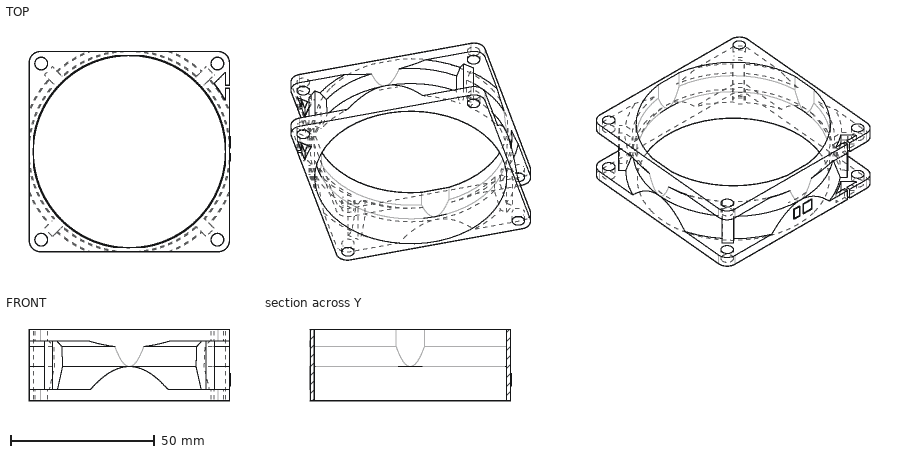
import cadquery as cq
import math


overall_width = 70.3
mark_height = 0.3
side = overall_width - mark_height
height = 25.0
flange_thickness = 4.0
corner_radius = 4.0
half_side = side / 2
flange_gap = height - 2 * flange_thickness
top_flange_z = height - flange_thickness

hole_spacing = 61.5
hole_diameter = 4.35

wall = 1.5
waist_z = 12.0
shoulder_z = 19.0
waist_radius = half_side
shoulder_radius = 35.35
lower_flare_radius = 37.55
upper_flare_radius = 37.9

bore_waist_radius = waist_radius - wall
bore_shoulder_radius = shoulder_radius - wall
wall_inner_face = half_side - wall

rib_width = 4.0
rib_end_radius = 39.9
rib_start_radius = waist_radius - wall / 2

passage_rib_clearance = 2.1
passage_arc_radius = 38.0
slit_width = 1.0
slit_y = 22.65

mark_root = wall / 2
mark_bottom_z = 5.3
mark_top_z = 9.6
mark_spans = [(1.2, 5.2), (-3.2, -0.6)]


def square_prism(width, bottom, depth):
    return cq.Workplane("XY").workplane(offset=bottom).rect(width, width).extrude(depth)


def revolved(profile):
    """Turn a closed (radius, z) profile around the Z axis."""
    return cq.Workplane("XZ").polyline(profile).close().revolve(360, (0, 0), (0, 1))


def make_flange(bottom):
    return square_prism(side, bottom, flange_thickness).edges("|Z").fillet(corner_radius)


def make_tube():
    """Solid waisted body between the flanges, cut flat by the four sides of the frame."""
    body = revolved([
        (0, flange_thickness),
        (lower_flare_radius, flange_thickness),
        (waist_radius, waist_z),
        (shoulder_radius, shoulder_z),
        (upper_flare_radius, top_flange_z),
        (0, top_flange_z),
    ])
    return body.intersect(square_prism(side, flange_thickness, flange_gap))


def make_rib(angle):
    """Rib spanning the flanges, from inside the tube wall out along the given angle."""
    length = rib_end_radius - rib_start_radius
    return (
        cq.Workplane("XY")
        .workplane(offset=flange_thickness)
        .center((rib_start_radius + rib_end_radius) / 2, 0)
        .rect(length, rib_width)
        .extrude(flange_gap)
        .rotate((0, 0, 0), (0, 0, 1), angle)
    )


def make_bore():
    """Bore cutter, flattened on four sides so that the side walls keep their thickness."""
    cutter = revolved([
        (0, 0),
        (bore_waist_radius, 0),
        (bore_waist_radius, waist_z),
        (bore_shoulder_radius, shoulder_z),
        (bore_shoulder_radius, height),
        (0, height),
    ])
    return cutter.intersect(square_prism(2 * wall_inner_face, 0, height))


def make_cable_passage():
    """Corner cutter bounded by the side wall, a line parallel to the rib and an arc around the tube."""
    rib_offset = rib_width / 2 + passage_rib_clearance
    tip_angle = math.pi / 4 - math.asin(rib_offset / passage_arc_radius)
    low_angle = math.acos(wall_inner_face / passage_arc_radius)
    mid_angle = (tip_angle + low_angle) / 2

    def on_arc(angle):
        return (passage_arc_radius * math.cos(angle), passage_arc_radius * math.sin(angle))

    passage = (
        cq.Workplane("XY")
        .moveTo(wall_inner_face, wall_inner_face - rib_offset * math.sqrt(2))
        .lineTo(*on_arc(tip_angle))
        .threePointArc(on_arc(mid_angle), on_arc(low_angle))
        .close()
        .extrude(height)
    )
    slit_length = 2 * wall
    slit = cq.Workplane("XY").center(half_side, slit_y).rect(slit_length, slit_width).extrude(height)
    return passage.union(slit)


def make_mark(start_y, end_y):
    """Plain raised pad, rooted in the +X wall."""
    depth = mark_root + mark_height
    pad = cq.Workplane("XY").box(depth, end_y - start_y, mark_top_z - mark_bottom_z, centered=False)
    return pad.translate((half_side - mark_root, start_y, mark_bottom_z))


housing = make_tube().union(make_flange(0)).union(make_flange(top_flange_z))
for corner in range(4):
    housing = housing.union(make_rib(45 + 90 * corner))

screw_holes = (
    cq.Workplane("XY")
    .rect(hole_spacing, hole_spacing, forConstruction=True)
    .vertices()
    .circle(hole_diameter / 2)
    .extrude(height)
)
housing = housing.cut(make_bore()).cut(screw_holes).cut(make_cable_passage())

for start_y, end_y in mark_spans:
    housing = housing.union(make_mark(start_y, end_y))

result = housing